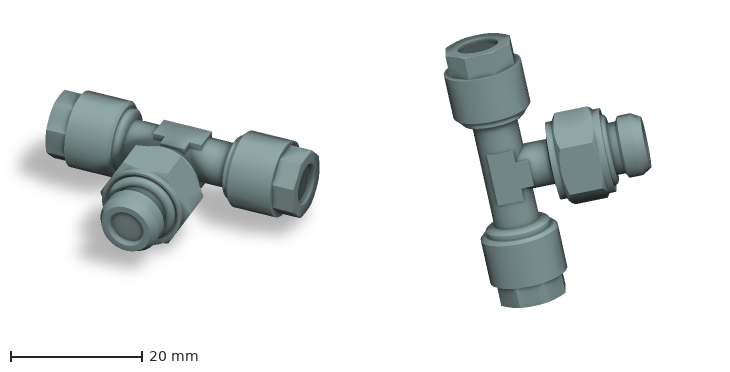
import cadquery as cq
import math


run_length = 41.2
pipe_radius = 3.5
pad_half_height = 4.0
pad_half_length = 4.0
pad_half_width = 2.0

socket_end = run_length / 2
neck_start = 8.3
neck_bulge_start = 8.5
neck_bulge_end = 8.85
neck_bulge_start_radius = 4.45
neck_bulge_middle = 8.65
neck_bulge_middle_radius = 4.78
neck_radius = 5.0
collar_start = 9.6
collar_end = 17.05
collar_radius = 6.0
collar_chamfer = 0.45
octagon_width = 10.0
octagon_face_radius = 4.95
octagon_corner_angle = 15
socket_bore_radius = 3.1
socket_mouth_radius = 0.35

bore_depth = 1.0
shoulder_start = 7.05
shoulder_radius = 5.0
sleeve_start = 7.4
sleeve_radius = collar_radius
hex_start = 8.4
hex_end = 14.87
hex_width = 13.0
hex_chamfer_angle = 30
washer_end = 15.95
recess_radius = 6.15
recess_depth = 0.82
relief_radius = 4.05
relief_end = 17.92
thread_radius = 4.8
thread_flank_angle = 30
thread_taper_start = 20.45
stud_end = 21.88
stud_tip_radius = 4.0
stud_bore_radius = 2.7
stud_bore_chamfer = 0.3
ring_section_radius = 0.8
ring_sink = 0.05


def polygon_diameter(width_across_flats, sides):
    """Diameter over the corners of a regular polygon."""
    return width_across_flats / math.cos(math.pi / sides)


def rise(radial_step, angle):
    """Axial length of a cone over a radial step, at an angle to the end plane."""
    return radial_step * math.tan(math.radians(angle))


def spin_about_x(profile):
    """Revolve a closed (x, radius) profile about the X axis."""
    return profile.close().revolve(360, (0, 0, 0), (1, 0, 0))


def spin_about_branch(points):
    """Revolve (radius, distance) points about the branch axis, which runs toward -Y."""
    profile = [(radius, -distance) for radius, distance in points]
    return cq.Workplane("XY").polyline(profile).close().revolve(360, (0, 0, 0), (0, 1, 0))


def make_body():
    """Crossed pipes with a T-shaped wrench pad above and below."""
    run = cq.Workplane("YZ").circle(pipe_radius).extrude(neck_bulge_end, both=True)
    branch = cq.Workplane("XZ").circle(pipe_radius).extrude(sleeve_start)
    pad_height = 2 * pad_half_height
    bar = cq.Workplane("XY").box(2 * pad_half_length, 2 * pad_half_width, pad_height)
    leg = cq.Workplane("XY").box(
        2 * pad_half_width, pad_half_length, pad_height
    ).translate((0, -pad_half_length / 2, 0))
    return run.union(branch).union(bar).union(leg)


def make_socket():
    """Neck, round collar and octagonal end with a shallow bore, on the +X side."""
    sleeve = spin_about_x(
        cq.Workplane("XY")
        .moveTo(neck_start, 0)
        .lineTo(neck_start, pipe_radius)
        .lineTo(neck_bulge_start, neck_bulge_start_radius)
        .threePointArc((neck_bulge_middle, neck_bulge_middle_radius), (neck_bulge_end, neck_radius))
        .lineTo(collar_start, neck_radius)
        .lineTo(collar_start, collar_radius - collar_chamfer)
        .lineTo(collar_start + collar_chamfer, collar_radius)
        .lineTo(collar_end, collar_radius)
        .lineTo(collar_end, 0)
    )

    corner_diameter = polygon_diameter(octagon_width, 8)
    octagon = (
        cq.Workplane("YZ", origin=(collar_end, 0, 0))
        .transformed(rotate=(0, 0, 180 / 8))
        .polygon(8, corner_diameter)
        .extrude(socket_end - collar_end)
    )
    corner_chamfer = rise(collar_radius - octagon_face_radius, octagon_corner_angle)
    corner_trim = spin_about_x(
        cq.Workplane("XY")
        .moveTo(collar_end, 0)
        .lineTo(collar_end, collar_radius)
        .lineTo(socket_end - corner_chamfer, collar_radius)
        .lineTo(socket_end, octagon_face_radius)
        .lineTo(socket_end, 0)
    )

    mouth_reach = socket_mouth_radius * (1 - math.sqrt(0.5))
    bore = spin_about_x(
        cq.Workplane("XY")
        .moveTo(socket_end - bore_depth, 0)
        .lineTo(socket_end - bore_depth, socket_bore_radius)
        .lineTo(socket_end - socket_mouth_radius, socket_bore_radius)
        .threePointArc(
            (socket_end - mouth_reach, socket_bore_radius + mouth_reach),
            (socket_end, socket_bore_radius + socket_mouth_radius),
        )
        .lineTo(socket_end, 0)
    )
    return sleeve.union(octagon.intersect(corner_trim)).cut(bore)


def make_hex():
    """Hexagon with two corners facing along X and a conical chamfer at each end."""
    corner_diameter = polygon_diameter(hex_width, 6)
    corner_radius = corner_diameter / 2
    hexagon = (
        cq.Workplane("XZ", origin=(0, -hex_start, 0))
        .polygon(6, corner_diameter)
        .extrude(hex_end - hex_start)
    )
    start_chamfer = rise(corner_radius - sleeve_radius, hex_chamfer_angle)
    end_chamfer = rise(corner_radius - hex_width / 2, hex_chamfer_angle)
    trim = spin_about_branch([
        (0, hex_start),
        (sleeve_radius, hex_start),
        (corner_radius, hex_start + start_chamfer),
        (corner_radius, hex_end - end_chamfer),
        (hex_width / 2, hex_end),
        (0, hex_end),
    ])
    return hexagon.intersect(trim)


def make_stud():
    """Shoulder, sleeve, hexagon, washer, thread and sealing ring on the branch."""
    recess_floor = washer_end - recess_depth
    turned = spin_about_branch([
        (0, shoulder_start),
        (pipe_radius, shoulder_start),
        (shoulder_radius, sleeve_start),
        (sleeve_radius, sleeve_start),
        (sleeve_radius, hex_end),
        (hex_width / 2, hex_end),
        (hex_width / 2, washer_end),
        (recess_radius, washer_end),
        (recess_radius - recess_depth, recess_floor),
        (relief_radius, recess_floor),
        (relief_radius, relief_end),
        (thread_radius, relief_end + rise(thread_radius - relief_radius, thread_flank_angle)),
        (thread_radius, thread_taper_start),
        (stud_tip_radius, stud_end),
        (0, stud_end),
    ])

    ring_radius = relief_radius + ring_section_radius - ring_sink
    ring_centre = recess_floor + ring_section_radius - ring_sink
    ring = (
        cq.Workplane("XY")
        .center(ring_radius, -ring_centre)
        .circle(ring_section_radius)
        .revolve(360, (-ring_radius, 0, 0), (-ring_radius, 1, 0))
    )

    bore = spin_about_branch([
        (0, stud_end - bore_depth),
        (stud_bore_radius, stud_end - bore_depth),
        (stud_bore_radius, stud_end - stud_bore_chamfer),
        (stud_bore_radius + stud_bore_chamfer, stud_end),
        (0, stud_end),
    ])
    return turned.union(make_hex()).union(ring).cut(bore)


socket = make_socket()
result = make_body().union(make_stud())
for end_socket in (socket, socket.mirror("YZ")):
    result = result.union(end_socket)